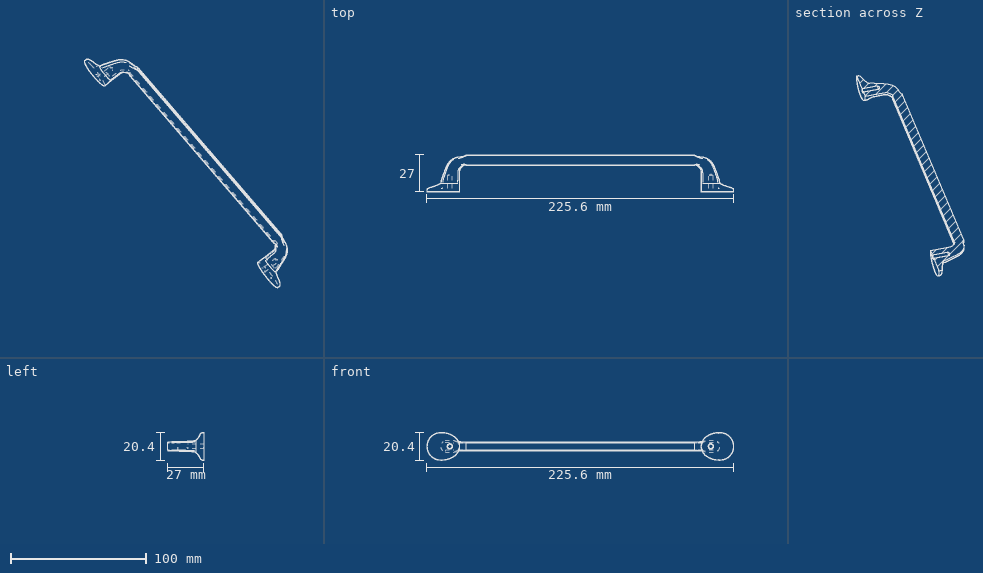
import cadquery as cq
import math

overall_length = 225.6
overall_depth = 27.02
foot_width = 20.41
foot_length = 24.0
screw_spacing = 192.0
screw_diameter = 3.24
screw_lead_in = 0.35
screw_depth = 12.0
drill_tip_angle = 118.0

grip_depth = 7.6
grip_height = 6.5
grip_chamfer_height = 0.7
grip_chamfer_depth = 0.4
bend_inner_radius = 4.8

half_length = overall_length / 2
foot_half_width = foot_width / 2
leg_inner_x = foot_length - half_length
bend_x = leg_inner_x + bend_inner_radius
bend_y = overall_depth - grip_depth - bend_inner_radius
end_face_angle = 50.0
side_flat = 0.4
foot_nose = foot_length - foot_half_width - side_flat

foot_rim_height = 1.0
foot_sections = [
    (foot_rim_height, 0.0, foot_half_width, foot_half_width, foot_nose),
    (2.4, 0.5, 9.7, 9.5, 13.0),
    (3.5, 3.2, 7.9, 7.6, 10.0),
    (4.85, 7.3, 5.8, 5.8, 7.0),
]
neck_section = (6.2, 10.2, 4.4, 4.5, 5.0)
leg_section = (10.0, 11.0, 3.85, 3.6, 3.6)

bend_start_depth = 11.3
bend_start_half_width = 3.65
bend_start_end = 3.4
bend_swell_power = 4
bend_angle = 90.0
bend_steps = 3


def elliptic_end(center, length, half_width):
    """Point on a half-elliptic end; a negative length faces the other way."""
    def point(angle):
        a = math.radians(angle)
        return (center + length * math.cos(a), half_width * math.sin(a))
    return point


def smooth_section(plane, inner, outer, half_width, inner_end, outer_end):
    """Closed section with flat sides and elliptic ends, eight edges in all."""
    inner_point = elliptic_end(inner + inner_end, -inner_end, half_width)
    outer_point = elliptic_end(outer - outer_end, outer_end, half_width)
    edge = end_face_angle
    side = 90
    corner = (edge + side) / 2
    runs = [
        (outer_point, (-edge, -edge / 2, 0, edge / 2, edge)),
        (outer_point, (edge, corner, side)),
        (inner_point, (side, corner, edge)),
        (inner_point, (edge, edge / 2, 0, -edge / 2, -edge)),
        (inner_point, (-edge, -corner, -side)),
        (outer_point, (-side, -corner, -edge)),
    ]
    section = cq.Workplane(plane).moveTo(*outer_point(-edge))
    for point, angles in runs:
        if abs(angles[0]) == side:
            section = section.lineTo(*point(angles[0]))
        section = section.spline([point(angle) for angle in angles[1:]], includeCurrent=True)
    return section.wire().val()


def foot_wire(height, setback, half_width, outer_end, inner_end):
    """Section parallel to the mounting face; local u runs outward, v along Z."""
    plane = cq.Plane(origin=(bend_x, height, 0), xDir=(-1, 0, 0), normal=(0, 1, 0))
    outer = bend_x + half_length - setback
    return smooth_section(plane, bend_inner_radius, outer, half_width, inner_end, outer_end)


def bend_plane(angle):
    """Plane through the bend axis; local u runs away from the axis, v along Z."""
    a = math.radians(angle)
    return cq.Plane(
        origin=(bend_x, bend_y, 0),
        xDir=(-math.sin(a), math.cos(a), 0),
        normal=(math.cos(a), math.sin(a), 0),
    )


def blend(start, finish, fraction):
    return start + (finish - start) * fraction


def bend_wire(angle):
    """Section around the bend, growing from the grip (0 deg) to the leg (90 deg)."""
    turn = angle / bend_angle
    swell = math.sin(math.radians(angle)) ** bend_swell_power
    outer = bend_inner_radius + blend(grip_depth, bend_start_depth, swell)
    half_width = blend(grip_height / 2, bend_start_half_width, turn)
    end = blend(grip_chamfer_depth, bend_start_end, turn)
    return smooth_section(bend_plane(angle), bend_inner_radius, outer, half_width, end, end)


def grip_wire():
    """Chamfered rectangle, started at the same corner as the smooth sections."""
    inner = bend_inner_radius
    outer = inner + grip_depth
    side = grip_height / 2
    end = side - grip_chamfer_height
    points = [
        (outer, -end),
        (outer, end),
        (outer - grip_chamfer_depth, side),
        (inner + grip_chamfer_depth, side),
        (inner, end),
        (inner, -end),
        (inner + grip_chamfer_depth, -side),
        (outer - grip_chamfer_depth, -side),
    ]
    return cq.Workplane(bend_plane(0)).polyline(points).close().wire().val()


def foot_rim():
    profile = foot_wire(0, *foot_sections[0][1:])
    return cq.Workplane(obj=cq.Solid.extrudeLinear(profile, [], cq.Vector(0, foot_rim_height, 0)))


def loft(wires):
    return cq.Workplane(obj=cq.Solid.makeLoft(wires))


def foot_flare():
    return loft([foot_wire(*section) for section in foot_sections + [neck_section]])


def leg():
    wires = [foot_wire(*section) for section in (neck_section, leg_section)]
    wires += [bend_wire(bend_angle * step / bend_steps) for step in range(bend_steps, 0, -1)]
    wires.append(grip_wire())
    return loft(wires)


def half_grip():
    return cq.Workplane(obj=cq.Solid.extrudeLinear(grip_wire(), [], cq.Vector(-bend_x, 0, 0)))


def screw_hole():
    radius = screw_diameter / 2
    tip = radius / math.tan(math.radians(drill_tip_angle / 2))
    profile = [
        (0, 0),
        (radius + screw_lead_in, 0),
        (radius, screw_lead_in),
        (radius, screw_depth),
        (0, screw_depth + tip),
    ]
    hole = cq.Workplane("XY").polyline(profile).close().revolve(360, (0, 0, 0), (0, 1, 0))
    return hole.translate((-screw_spacing / 2, 0, 0))


left_half = foot_rim().union(foot_flare()).union(leg()).union(half_grip())
left_half = left_half.cut(screw_hole())
result = left_half.union(left_half.mirror("YZ")).clean()